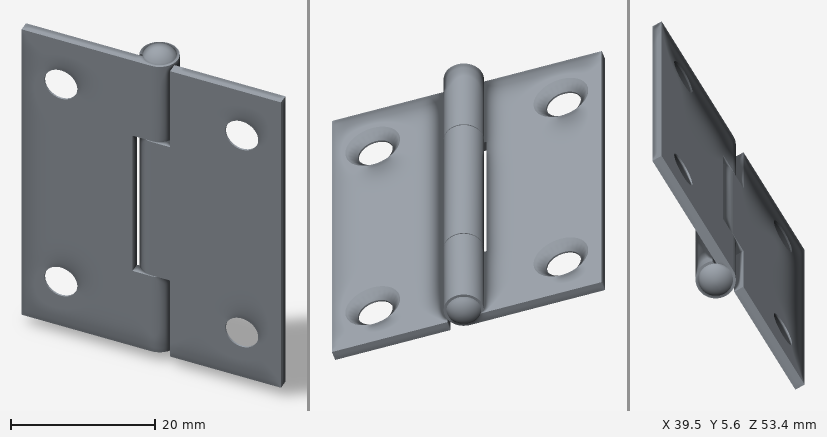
import cadquery as cq
import math

leaf_height = 50.75
overall_height = 53.4
overall_width = 39.5
leaf_thickness = 1.5

barrel_diameter = 5.6
knuckle_radius = barrel_diameter / 2
middle_knuckle_height = 23.7
knuckle_gap = 0.15
leaf_clearance = 0.05
pin_radius = knuckle_radius - leaf_thickness
curl_slit = 0.3
head_radius = 2.4
head_height = (overall_height - leaf_height) / 2

hole_diameter = 5.0
hole_land = 0.25
countersink_diameter = 8.0
hole_spacing_x = 27.55
hole_spacing_z = 35.05

leaf_back = -knuckle_radius
countersink_depth = leaf_thickness - hole_land
leaf_front = leaf_back + leaf_thickness
leaf_width = overall_width / 2
half_leaf_height = leaf_height / 2
half_middle = middle_knuckle_height / 2
half_opening = half_middle + knuckle_gap
end_knuckle_height = half_leaf_height - half_opening
leaf_edge = knuckle_radius + leaf_clearance


def cylinder(radius, bottom, height):
    """Cylinder on the hinge axis."""
    return cq.Workplane("XY").workplane(offset=bottom).circle(radius).extrude(height)


def plate(start_x, end_x, bottom, height):
    """Flat piece of leaf between two X positions."""
    return cq.Workplane("XY").box(
        end_x - start_x, leaf_thickness, height, centered=False
    ).translate((start_x, leaf_back, bottom))


def drill_screw_holes(leaf, hole_x):
    """Cut the upper and lower holes, straight at first and countersunk on the barrel side."""
    for hole_z in (-hole_spacing_z / 2, hole_spacing_z / 2):
        axis = cq.Vector(0, 1, 0)
        outer_point = cq.Vector(hole_x, leaf_back, hole_z)
        land_point = outer_point + axis * hole_land
        straight = cq.Solid.makeCylinder(hole_diameter / 2, leaf_thickness, outer_point, axis)
        countersink = cq.Solid.makeCone(
            hole_diameter / 2, countersink_diameter / 2, countersink_depth, land_point, axis
        )
        leaf = leaf.cut(cq.Workplane(straight)).cut(cq.Workplane(countersink))
    return leaf


def curled_knuckle(side, bottom, height):
    """Bored knuckle, slit where its curled end stops short of the leaf; side is the leaf's X sign."""
    slit_start = min(0, side * knuckle_radius)
    slit = cq.Workplane("XY").box(
        knuckle_radius, curl_slit, height, centered=False
    ).translate((slit_start, leaf_front, bottom))
    return cylinder(knuckle_radius, bottom, height).cut(slit).cut(cylinder(pin_radius, bottom, height))


def pin_head():
    """Upper domed pin head, a spherical cap."""
    return (
        cq.Workplane("XZ")
        .moveTo(0, half_leaf_height)
        .lineTo(head_radius, half_leaf_height)
        .threePointArc(head_arc_middle(), (0, half_leaf_height + head_height))
        .close()
        .revolve(360, (0, 0, 0), (0, 1, 0))
    )


def head_arc_middle():
    """Point halfway along the dome profile."""
    sphere_radius = (head_radius**2 + head_height**2) / (2 * head_height)
    half_angle = math.asin(head_radius / sphere_radius) / 2
    center_z = half_leaf_height + head_height - sphere_radius
    return (sphere_radius * math.sin(half_angle), center_z + sphere_radius * math.cos(half_angle))


def make_pin_leaf():
    """Left leaf with both end knuckles and the fixed domed pin."""
    leaf = plate(-leaf_width, -leaf_edge, -half_leaf_height, leaf_height)
    for bottom in (-half_leaf_height, half_opening):
        leaf = leaf.union(plate(-leaf_edge, 0, bottom, end_knuckle_height))
        leaf = leaf.union(curled_knuckle(-1, bottom, end_knuckle_height))
    leaf = leaf.union(cylinder(pin_radius, -half_leaf_height, leaf_height))
    upper_head = pin_head()
    leaf = leaf.union(upper_head).union(upper_head.mirror("XY"))
    return drill_screw_holes(leaf, -hole_spacing_x / 2)


def make_middle_leaf():
    """Right leaf with the middle knuckle, bored for the pin."""
    leaf = plate(leaf_edge, leaf_width, -half_leaf_height, leaf_height)
    leaf = leaf.union(plate(0, leaf_edge, -half_middle, middle_knuckle_height))
    leaf = leaf.union(curled_knuckle(1, -half_middle, middle_knuckle_height))
    return drill_screw_holes(leaf, hole_spacing_x / 2)


pin_leaf = make_pin_leaf()
middle_leaf = make_middle_leaf()
result = cq.Compound.makeCompound([pin_leaf.val(), middle_leaf.val()])